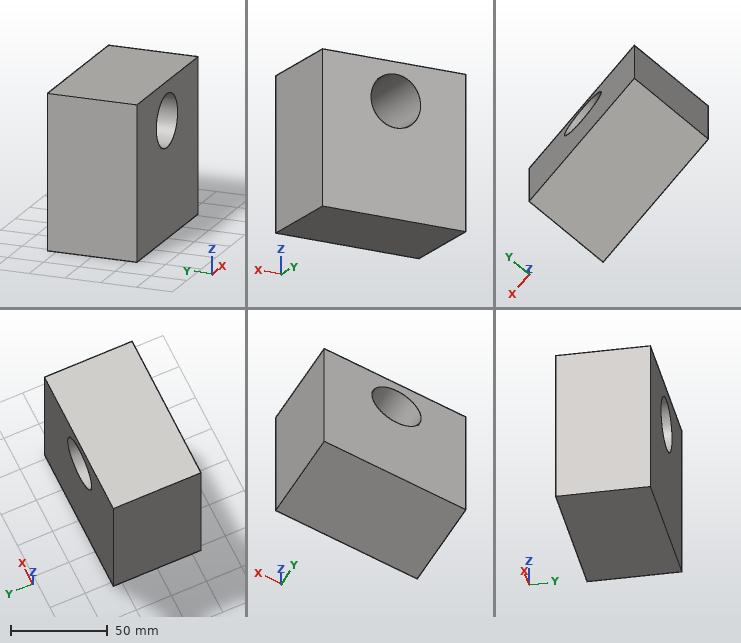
import cadquery as cq

width = 84.9
depth = 50.0
height = 86.0

hole_diameter = 29.4
hole_from_left = 41.5
hole_below_top = 21.5

block = cq.Workplane("XY").box(width, depth, height, centered=False)

hole = (
    cq.Workplane("XZ")
    .center(hole_from_left, height - hole_below_top)
    .circle(hole_diameter / 2)
    .extrude(-depth)
)

result = block.cut(hole)